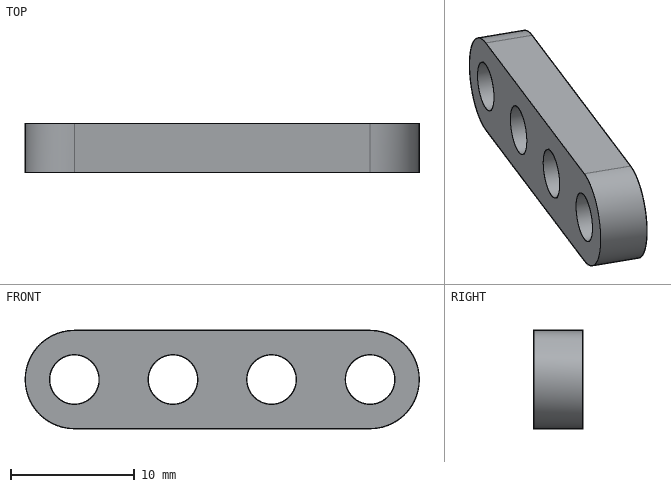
import cadquery as cq

length = 32.0
hole_count = 4
hole_pitch = length / hole_count
height = hole_pitch
thickness = height / 2
hole_diameter = height / 2

bar = (
    cq.Workplane("XZ", origin=(0, thickness / 2, 0))
    .slot2D(length, height)
    .extrude(thickness)
)

result = (
    bar.faces("<Y")
    .workplane(origin=(0, 0, 0))
    .rarray(hole_pitch, height, hole_count, 1)
    .hole(hole_diameter)
)